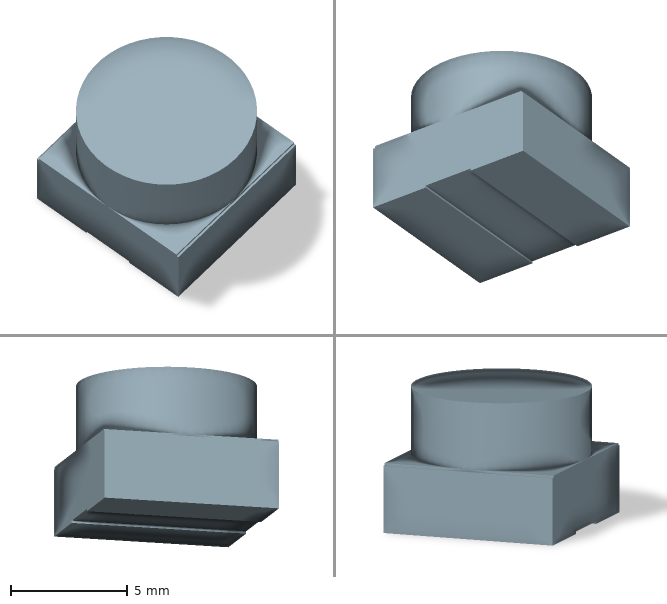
import cadquery as cq

overall_length = 8.0
overall_height = 6.0

terminal_thickness = 0.1
terminal_gap = 2.4
terminal_top_setback = 0.1

block_side = overall_length - 2 * terminal_thickness
block_height = (overall_height - terminal_thickness) / 2
block_bottom = terminal_thickness
block_top = block_bottom + block_height
core_diameter = block_side
core_height = overall_height - block_top


def make_block():
    return (
        cq.Workplane("XY")
        .workplane(offset=block_bottom)
        .rect(block_side, block_side)
        .extrude(block_height)
    )


def make_core():
    return (
        cq.Workplane("XY")
        .workplane(offset=block_top)
        .circle(core_diameter / 2)
        .extrude(core_height)
    )


def make_terminal(side):
    """L-shaped terminal on the +X side (side = 1) or the -X side (side = -1)."""
    outer_x = side * overall_length / 2
    block_face_x = side * block_side / 2
    foot_end_x = side * terminal_gap / 2
    terminal_top = block_top - terminal_top_setback
    profile = [
        (foot_end_x, 0),
        (outer_x, 0),
        (outer_x, terminal_top),
        (block_face_x, terminal_top),
        (block_face_x, block_bottom),
        (foot_end_x, block_bottom),
    ]
    return cq.Workplane("XZ").polyline(profile).close().extrude(block_side / 2, both=True)


block = make_block()
core = make_core()
terminals = [make_terminal(side) for side in (-1, 1)]

result = cq.Compound.makeCompound(
    [block.val(), core.val(), *[terminal.val() for terminal in terminals]]
)